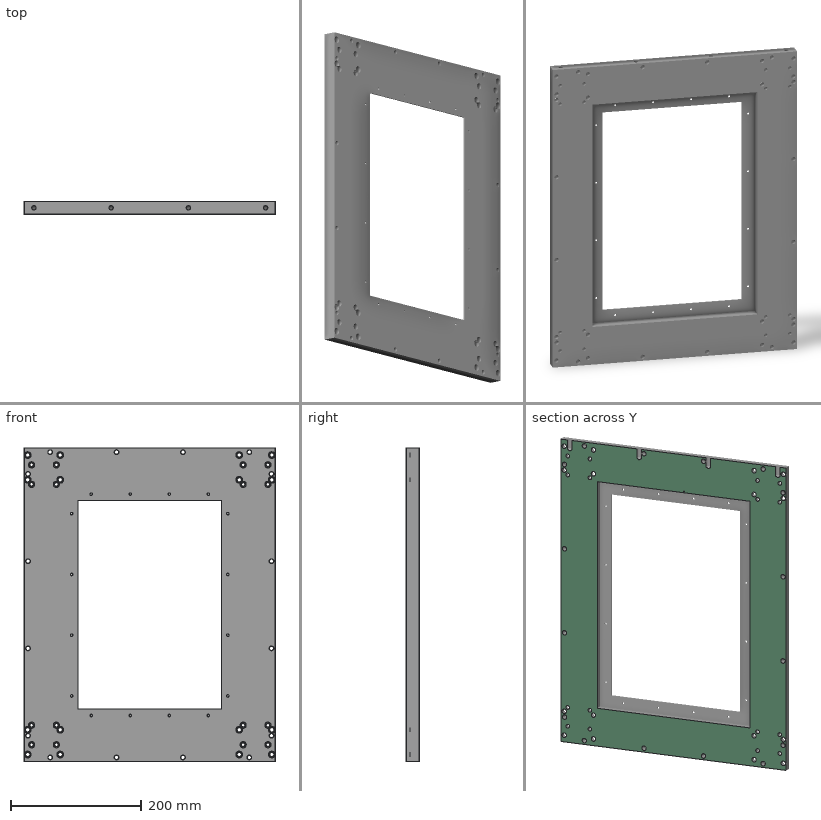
import cadquery as cq
import math

WIDTH = 386.0
THICKNESS = 20.0
HEIGHT = 482.0

WINDOW_WIDTH = 220.0
WINDOW_HEIGHT = 320.0
FLANGE_WIDTH = 20.0
FLANGE_THICKNESS = 2.0

FLANGE_HOLE_DIAMETER = 3.4
FLANGE_ROW_SPAN = 180.0
FLANGE_COLUMN_SPAN = 280.0

BORDER_HOLE_DIAMETER = 6.6
BORDER_ROW_INSET = 6.5
BORDER_COLUMN_INSET = 6.0
BORDER_ROW_SPAN = 306.0
BORDER_COLUMN_SPAN = 402.0

TOP_HOLE_DIAMETER = 6.6
TOP_HOLE_DEPTH = 15.0
DRILL_TIP_ANGLE = 118.0
TOP_HOLE_SPAN = 356.0

HOLES_PER_ROW = 4

OUTER_BOLT_DIAMETER = 6.6
OUTER_COUNTERBORE_DIAMETER = 10.24
OUTER_COUNTERBORE_DEPTH = 6.0
OUTER_SPACING_X = 50.0
OUTER_SPACING_Z = 38.0
OUTER_CENTRE_INSET_X = 30.5
OUTER_CENTRE_INSET_Z = 30.0
INNER_BOLT_DIAMETER = 5.4
INNER_COUNTERBORE_DIAMETER = 9.5
INNER_COUNTERBORE_DEPTH = 5.4
INNER_SPACING_X = 38.0
INNER_SPACING_Z = 30.0
INNER_CENTRE_INSET_X = 30.5
INNER_CENTRE_INSET_Z = 41.0

FRONT_Y = -THICKNESS / 2
SIGNS = (-1, 1)


def evenly_spaced(span):
    """Positions of one row of holes, centred on zero."""
    pitch = span / (HOLES_PER_ROW - 1)
    return [-span / 2 + i * pitch for i in range(HOLES_PER_ROW)]


def front_cylinders(points, diameter, depth):
    """Cylinders running from the front face into the plate at (x, z) points."""
    front = cq.Workplane("XZ", origin=(0, FRONT_Y, 0))
    return front.pushPoints(points).circle(diameter / 2).extrude(-depth)


def frame_points(row_span, row_z, column_span, column_x):
    """Rows above and below the centre, and columns to its left and right."""
    rows = [(x, side * row_z) for side in SIGNS for x in evenly_spaced(row_span)]
    columns = [(side * column_x, z) for side in SIGNS for z in evenly_spaced(column_span)]
    return rows + columns


def corner_points(spacing_x, spacing_z, centre_inset_x, centre_inset_z):
    """Corners of a rectangle of holes, repeated in all four corners of the plate."""
    centre_x = WIDTH / 2 - centre_inset_x
    centre_z = HEIGHT / 2 - centre_inset_z
    return [
        (side_x * (centre_x + dx * spacing_x / 2), side_z * (centre_z + dz * spacing_z / 2))
        for side_x in SIGNS
        for side_z in SIGNS
        for dx in SIGNS
        for dz in SIGNS
    ]


def cut_window(plate):
    window = cq.Workplane("XY").box(WINDOW_WIDTH, THICKNESS, WINDOW_HEIGHT)
    recess = cq.Workplane("XY").box(
        WINDOW_WIDTH + 2 * FLANGE_WIDTH,
        THICKNESS,
        WINDOW_HEIGHT + 2 * FLANGE_WIDTH,
    )
    return plate.cut(window).cut(recess.translate((0, FLANGE_THICKNESS, 0)))


def cut_flange_holes(plate):
    row_z = (WINDOW_HEIGHT + FLANGE_WIDTH) / 2
    column_x = (WINDOW_WIDTH + FLANGE_WIDTH) / 2
    points = frame_points(FLANGE_ROW_SPAN, row_z, FLANGE_COLUMN_SPAN, column_x)
    return plate.cut(front_cylinders(points, FLANGE_HOLE_DIAMETER, THICKNESS))


def cut_border_holes(plate):
    row_z = HEIGHT / 2 - BORDER_ROW_INSET
    column_x = WIDTH / 2 - BORDER_COLUMN_INSET
    points = frame_points(BORDER_ROW_SPAN, row_z, BORDER_COLUMN_SPAN, column_x)
    return plate.cut(front_cylinders(points, BORDER_HOLE_DIAMETER, THICKNESS))


def cut_counterbored_holes(plate, points, bolt_diameter, counterbore_diameter, counterbore_depth):
    plate = plate.cut(front_cylinders(points, bolt_diameter, THICKNESS))
    return plate.cut(front_cylinders(points, counterbore_diameter, counterbore_depth))


def cut_top_holes(plate):
    radius = TOP_HOLE_DIAMETER / 2
    tip_length = radius / math.tan(math.radians(DRILL_TIP_ANGLE / 2))
    half_profile = [
        (0, 0),
        (radius, 0),
        (radius, -TOP_HOLE_DEPTH),
        (0, -TOP_HOLE_DEPTH - tip_length),
    ]
    drill = cq.Workplane("XZ").polyline(half_profile).close().revolve(360, (0, 0, 0), (0, 1, 0))
    for x in evenly_spaced(TOP_HOLE_SPAN):
        plate = plate.cut(drill.translate((x, 0, HEIGHT / 2)))
    return plate


outer_points = corner_points(OUTER_SPACING_X, OUTER_SPACING_Z, OUTER_CENTRE_INSET_X, OUTER_CENTRE_INSET_Z)
inner_points = corner_points(INNER_SPACING_X, INNER_SPACING_Z, INNER_CENTRE_INSET_X, INNER_CENTRE_INSET_Z)

result = cq.Workplane("XY").box(WIDTH, THICKNESS, HEIGHT)
result = cut_window(result)
result = cut_flange_holes(result)
result = cut_border_holes(result)
result = cut_counterbored_holes(
    result,
    outer_points,
    OUTER_BOLT_DIAMETER,
    OUTER_COUNTERBORE_DIAMETER,
    OUTER_COUNTERBORE_DEPTH,
)
result = cut_counterbored_holes(
    result,
    inner_points,
    INNER_BOLT_DIAMETER,
    INNER_COUNTERBORE_DIAMETER,
    INNER_COUNTERBORE_DEPTH,
)
result = cut_top_holes(result)